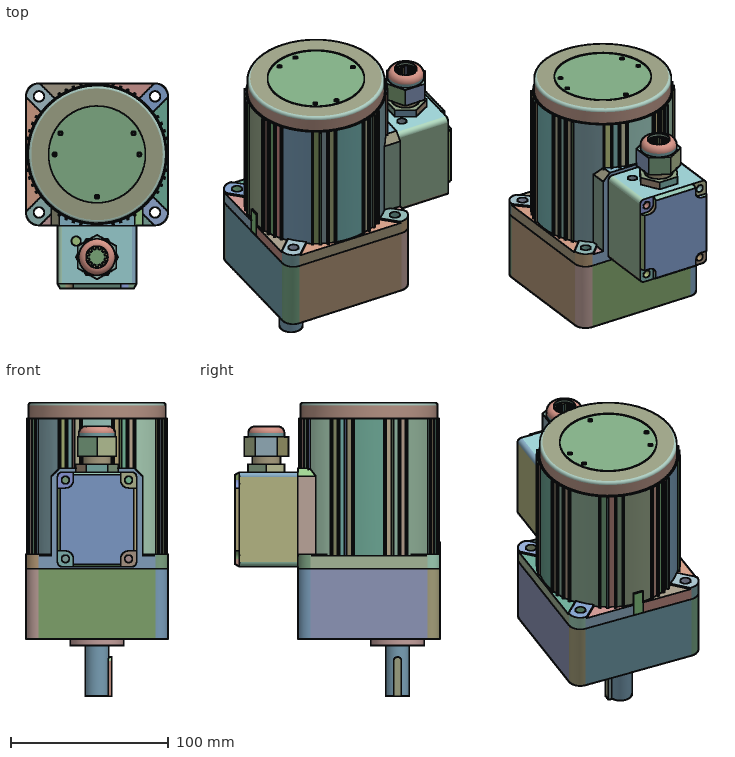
import cadquery as cq
import math

TOTAL_HEIGHT = 186.0

FRAME_SIDE = 90.0
FRAME_HALF = FRAME_SIDE / 2
FRAME_CORNER_RADIUS = 8.0
EDGE_BREAK = 0.4
SHAFT_OFFSET_Y = 18.0
SHAFT_DIAMETER = 15.0
SHAFT_LENGTH = 32.0
SHAFT_CHAMFER = 0.4
BOSS_DIAMETER = 34.0
BOSS_HEIGHT = 4.0
GEARHEAD_HEIGHT = 44.8
GEARHEAD_BOTTOM = SHAFT_LENGTH + BOSS_HEIGHT
GEARHEAD_TOP = GEARHEAD_BOTTOM + GEARHEAD_HEIGHT
BOLT_DIAMETER = 6.5
BOLT_SPACING = 73.5

KEY_WIDTH = 5.0
KEY_HEIGHT = 5.0
KEY_LENGTH = 25.0
KEY_OUTER_X = 9.5

FLANGE_THICKNESS = 8.0
FLANGE_TOP = GEARHEAD_TOP + FLANGE_THICKNESS
CORNER_PAD_HEIGHT = 1.1
CORNER_PAD_WIDTH = 12.3
BARREL_RADIUS = 44.3
BARREL_TOP = 176.0
RIB_OUTER_RADIUS = 45.5
RIB_WIDTH = 1.1
RIB_FIRST_ANGLE = 13.0
RIB_PITCH_ANGLE = 6.3
RIBS_PER_GROUP = 4
CAP_RADIUS = 43.5
CAP_EDGE_RADIUS = 1.9
CAP_RECESS_DIAMETER = 61.4
CAP_RECESS_DEPTH = 0.5
CAP_HOLE_DIAMETER = 1.5
CAP_HOLE_DEPTH = 3.0
CAP_COUNTERBORE_DIAMETER = 2.8
CAP_COUNTERBORE_DEPTH = 1.0
CAP_HOLE_CIRCLE_RADIUS = 26.8
CAP_HOLE_ANGLES = (0, 30, 150, 180, 270)
PAD_WIDTH = 57.7
PAD_CORNER_CHAMFER = 5.0
PAD_TOP = 144.3
BACK_TAB_WIDTH = 6.5
BACK_TAB_TOP = 97.6
BACK_TAB_STEP = 0.07

BOX_WIDTH = 50.0
BOX_HEIGHT = 59.9
BOX_BOTTOM = 82.0
BOX_TOP = BOX_BOTTOM + BOX_HEIGHT
BOX_DEPTH = 40.0
BOX_EDGE_RADIUS = 3.0
COVER_THICKNESS = 3.0
COVER_TAPER_DEGREES = 30.0
SCREW_INSET = 5.0
SCREW_RECESS_RADIUS = 5.0
SCREW_HOLE_DIAMETER = 4.8
SCREW_HOLE_DEPTH = 5.0
PLUG_HOLE_DIAMETER = 6.0
PLUG_HOLE_DEPTH = 5.0
PLUG_HOLE_X = -13.2
PLUG_HOLE_Y = -54.9

GLAND_BASE_FLATS = 23.2
GLAND_BASE_HEIGHT = 5.0
GLAND_NECK_DIAMETER = 18.0
GLAND_NECK_HEIGHT = 5.0
GLAND_NUT_FLATS = 24.4
GLAND_NUT_HEIGHT = 12.3
GLAND_DOME_DIAMETER = 23.0
GLAND_DOME_HEIGHT = 6.7
GLAND_DOME_EDGE_RADIUS = 4.3
GLAND_MOUTH_DIAMETER = 14.0
GLAND_MOUTH_DEPTH = 2.0
GLAND_BORE_DIAMETER = 9.9
GLAND_BORE_DEPTH = 11.2
GLAND_SLOT_COUNT = 12
GLAND_SLOT_REACH = 12.0
GLAND_SLOT_WIDTH = 1.5

PAD_FACE_Y = -FRAME_HALF
BOX_FRONT_Y = PAD_FACE_Y - BOX_DEPTH
COVER_BACK_Y = BOX_FRONT_Y + COVER_THICKNESS
GLAND_Y = PAD_FACE_Y - BOX_DEPTH / 2


def square_frame(bottom, height):
    """Square block with rounded vertical corners."""
    return (
        cq.Workplane("XY", origin=(0, 0, bottom))
        .rect(FRAME_SIDE, FRAME_SIDE)
        .extrude(height)
        .edges("|Z")
        .fillet(FRAME_CORNER_RADIUS)
    )


def bolt_holes():
    """Four cutters through the corners of the gearhead and the flange."""
    return (
        cq.Workplane("XY", origin=(0, 0, GEARHEAD_BOTTOM))
        .rect(BOLT_SPACING, BOLT_SPACING, forConstruction=True)
        .vertices()
        .circle(BOLT_DIAMETER / 2)
        .extrude(TOTAL_HEIGHT - GEARHEAD_BOTTOM)
    )


def make_key():
    """Key with a round inner end, flush with the free end of the shaft."""
    end_radius = KEY_WIDTH / 2
    return (
        cq.Workplane("YZ", origin=(KEY_OUTER_X - KEY_HEIGHT, SHAFT_OFFSET_Y, 0))
        .moveTo(-end_radius, 0)
        .lineTo(end_radius, 0)
        .lineTo(end_radius, KEY_LENGTH - end_radius)
        .threePointArc((0, KEY_LENGTH), (-end_radius, KEY_LENGTH - end_radius))
        .close()
        .extrude(KEY_HEIGHT)
    )


def make_gearhead():
    """Square gear case, round boss and keyed output shaft."""
    case = square_frame(GEARHEAD_BOTTOM, GEARHEAD_HEIGHT).faces("<Z").chamfer(EDGE_BREAK)
    boss = (
        cq.Workplane("XY", origin=(0, SHAFT_OFFSET_Y, SHAFT_LENGTH))
        .circle(BOSS_DIAMETER / 2)
        .extrude(BOSS_HEIGHT)
        .faces("<Z")
        .chamfer(EDGE_BREAK)
    )
    shaft = (
        cq.Workplane("XY", origin=(0, SHAFT_OFFSET_Y, 0))
        .circle(SHAFT_DIAMETER / 2)
        .extrude(SHAFT_LENGTH)
        .faces("<Z")
        .chamfer(SHAFT_CHAMFER)
    )
    return case.cut(bolt_holes()).union(boss).union(shaft).cut(make_key())


def make_barrel():
    """Round barrel with two groups of radial cooling ribs on each of its four sides."""
    height = BARREL_TOP - GEARHEAD_TOP
    barrel = cq.Workplane("XY", origin=(0, 0, GEARHEAD_TOP)).circle(BARREL_RADIUS).extrude(height)
    rib_pair = (
        cq.Workplane("XY", origin=(0, 0, GEARHEAD_TOP))
        .rect(2 * RIB_OUTER_RADIUS, RIB_WIDTH)
        .extrude(height)
    )
    for axis_angle in (0, 90):
        for index in range(RIBS_PER_GROUP):
            rib_angle = RIB_FIRST_ANGLE + index * RIB_PITCH_ANGLE
            for turn in (axis_angle + rib_angle, axis_angle - rib_angle):
                barrel = barrel.union(rib_pair.rotate((0, 0, 0), (0, 0, 1), turn))
    return barrel.faces(">Z").chamfer(EDGE_BREAK)


def make_flange():
    """Square flange with a raised diagonal pad at each corner."""
    flange = square_frame(GEARHEAD_TOP, FLANGE_THICKNESS)
    diagonals = cq.Workplane("XY", origin=(0, 0, GEARHEAD_TOP))
    raised = square_frame(GEARHEAD_TOP, FLANGE_THICKNESS + CORNER_PAD_HEIGHT)
    for angle in (45, 135):
        strip = (
            diagonals.rect(2 * FRAME_SIDE, CORNER_PAD_WIDTH)
            .extrude(FLANGE_THICKNESS + CORNER_PAD_HEIGHT)
            .rotate((0, 0, 0), (0, 0, 1), angle)
        )
        flange = flange.union(raised.intersect(strip))
    return flange


def make_terminal_pad():
    """Flat-faced block on the -Y side that carries the terminal box."""
    return (
        cq.Workplane("XY", origin=(0, PAD_FACE_Y / 2, GEARHEAD_TOP))
        .box(PAD_WIDTH, FRAME_HALF, PAD_TOP - GEARHEAD_TOP, centered=(True, True, False))
        .faces(">Z")
        .edges("|Y")
        .chamfer(PAD_CORNER_CHAMFER)
    )


def make_back_tab():
    """Narrow upright tab on the +Y side, standing slightly proud of the flange."""
    depth = FRAME_HALF + BACK_TAB_STEP
    return cq.Workplane("XY", origin=(0, depth / 2, GEARHEAD_TOP)).box(
        BACK_TAB_WIDTH, depth, BACK_TAB_TOP - GEARHEAD_TOP, centered=(True, True, False)
    )


def make_end_cap():
    """Round cap with a shallow recess and small counterbored holes in its top."""
    cap = (
        cq.Workplane("XY", origin=(0, 0, BARREL_TOP))
        .circle(CAP_RADIUS)
        .extrude(TOTAL_HEIGHT - BARREL_TOP)
        .faces(">Z")
        .fillet(CAP_EDGE_RADIUS)
    )
    recess_floor = TOTAL_HEIGHT - CAP_RECESS_DEPTH
    recess = (
        cq.Workplane("XY", origin=(0, 0, recess_floor))
        .circle(CAP_RECESS_DIAMETER / 2)
        .extrude(CAP_RECESS_DEPTH)
    )
    hole_centres = [
        (
            CAP_HOLE_CIRCLE_RADIUS * math.cos(math.radians(angle)),
            CAP_HOLE_CIRCLE_RADIUS * math.sin(math.radians(angle)),
        )
        for angle in CAP_HOLE_ANGLES
    ]
    centres = cq.Workplane("XY", origin=(0, 0, recess_floor)).pushPoints(hole_centres)
    holes = centres.circle(CAP_HOLE_DIAMETER / 2).extrude(-CAP_HOLE_DEPTH)
    counterbores = centres.circle(CAP_COUNTERBORE_DIAMETER / 2).extrude(-CAP_COUNTERBORE_DEPTH)
    return cap.cut(recess).cut(holes).cut(counterbores)


def make_motor():
    """Motor body: flange, barrel, terminal pad, back tab and end cap in one piece."""
    motor = make_flange().union(make_barrel())
    motor = motor.union(make_terminal_pad()).union(make_back_tab())
    return motor.union(make_end_cap()).cut(bolt_holes())


def front_plane(y):
    """Workplane facing -Y, centred on the terminal box."""
    return cq.Workplane("XZ", origin=(0, y, BOX_BOTTOM + BOX_HEIGHT / 2))


def box_outline(y):
    """Rounded outline of the terminal box, drawn at the given Y."""
    outline = cq.Sketch().rect(BOX_WIDTH, BOX_HEIGHT).vertices().fillet(BOX_EDGE_RADIUS)
    return front_plane(y).placeSketch(outline)


def make_terminal_box():
    """Box with a tapered cover face, recessed corner screws and a plug hole."""
    box = box_outline(PAD_FACE_Y).extrude(BOX_DEPTH - COVER_THICKNESS)
    box = box.union(box_outline(COVER_BACK_Y).extrude(COVER_THICKNESS, taper=COVER_TAPER_DEGREES))

    screw_x = BOX_WIDTH / 2 - SCREW_INSET
    screw_z = BOX_HEIGHT / 2 - SCREW_INSET
    recess_side = 2 * SCREW_RECESS_RADIUS
    for side_x in (1, -1):
        for side_z in (1, -1):
            centre = (side_x * screw_x, side_z * screw_z)
            past_side = (centre[0] + side_x * SCREW_RECESS_RADIUS, centre[1])
            past_end = (centre[0], centre[1] + side_z * SCREW_RECESS_RADIUS)
            plane = front_plane(COVER_BACK_Y)
            box = box.cut(plane.center(*centre).circle(SCREW_RECESS_RADIUS).extrude(COVER_THICKNESS))
            for middle in (past_side, past_end):
                plane = front_plane(COVER_BACK_Y)
                box = box.cut(plane.center(*middle).rect(recess_side, recess_side).extrude(COVER_THICKNESS))
            plane = front_plane(COVER_BACK_Y)
            box = box.cut(
                plane.center(*centre).circle(SCREW_HOLE_DIAMETER / 2).extrude(-SCREW_HOLE_DEPTH)
            )

    plug_hole = (
        cq.Workplane("XY", origin=(PLUG_HOLE_X, PLUG_HOLE_Y, BOX_TOP))
        .circle(PLUG_HOLE_DIAMETER / 2)
        .extrude(-PLUG_HOLE_DEPTH)
    )
    return box.cut(plug_hole)


def hexagon(bottom, flats, height, turn):
    """Hexagonal prism on the gland axis; with no turn it has corners along Y."""
    return (
        cq.Workplane("XY")
        .polygon(6, flats, circumscribed=True)
        .extrude(height)
        .rotate((0, 0, 0), (0, 0, 1), turn)
        .translate((0, GLAND_Y, bottom))
    )


def gland_cylinder(bottom, diameter, height):
    """Cylinder on the gland axis."""
    return cq.Workplane("XY", origin=(0, GLAND_Y, bottom)).circle(diameter / 2).extrude(height)


def make_cable_gland():
    """Hexagonal base, round neck, hexagonal nut and domed mouth with a slotted bore."""
    neck_bottom = BOX_TOP + GLAND_BASE_HEIGHT
    nut_bottom = neck_bottom + GLAND_NECK_HEIGHT
    dome_bottom = nut_bottom + GLAND_NUT_HEIGHT
    top = dome_bottom + GLAND_DOME_HEIGHT

    dome = gland_cylinder(dome_bottom, GLAND_DOME_DIAMETER, GLAND_DOME_HEIGHT)
    dome = dome.faces(">Z").fillet(GLAND_DOME_EDGE_RADIUS)
    gland = (
        hexagon(BOX_TOP, GLAND_BASE_FLATS, GLAND_BASE_HEIGHT, 30)
        .union(gland_cylinder(neck_bottom, GLAND_NECK_DIAMETER, GLAND_NECK_HEIGHT))
        .union(hexagon(nut_bottom, GLAND_NUT_FLATS, GLAND_NUT_HEIGHT, 0))
        .union(dome)
    )
    mouth = gland_cylinder(top, GLAND_MOUTH_DIAMETER, -GLAND_MOUTH_DEPTH)
    bore = gland_cylinder(top, GLAND_BORE_DIAMETER, -GLAND_BORE_DEPTH)
    slot = (
        cq.Workplane("XY", origin=(0, GLAND_Y, top))
        .rect(GLAND_SLOT_REACH, GLAND_SLOT_WIDTH)
        .extrude(-GLAND_BORE_DEPTH)
    )
    for index in range(GLAND_SLOT_COUNT // 2):
        turn = index * 360 / GLAND_SLOT_COUNT
        bore = bore.union(slot.rotate((0, GLAND_Y, 0), (0, GLAND_Y, 1), turn))
    return gland.cut(mouth).cut(bore)


gearhead = make_gearhead()
key = make_key()
motor = make_motor()
terminal_box = make_terminal_box()
cable_gland = make_cable_gland()

result = cq.Compound.makeCompound(
    [gearhead.val(), key.val(), motor.val(), terminal_box.val(), cable_gland.val()]
)